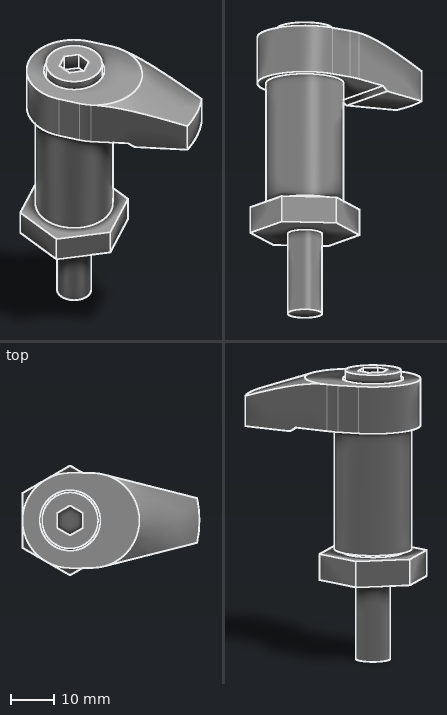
import cadquery as cq
import math

total_height = 68.0
head_protrusion = 2.0
hook_thickness = 11.0
shank_length = 29.05
collar_height = 0.8
nut_thickness = 6.1

hook_top = total_height - head_protrusion
hook_bottom = hook_top - hook_thickness
shank_bottom = hook_bottom - shank_length
nut_top = shank_bottom - collar_height
nut_bottom = nut_top - nut_thickness

hook_radius = 11.0
front_round_x = 5.0
nose_reach = 24.95
nose_drop = 4.9
flank_angle = math.radians(14.2)

pad_depth = 1.0
pad_ramp_start_x = 16.1
pad_start_x = 17.55

shank_diameter = 18.0
screw_diameter = 8.0
head_diameter = 13.0
head_height = 8.0
head_clearance_diameter = 14.0
socket_across_flats = 6.0
socket_depth = 4.0
nut_across_flats = 2 * hook_radius
collar_diameter = 14.0

head_bottom = total_height - head_height
nose_tip_x = front_round_x + nose_reach


def cylinder(diameter, bottom, top):
    """Solid cylinder on the screw axis."""
    return cq.Workplane("XY").workplane(offset=bottom).circle(diameter / 2).extrude(top - bottom)


def hexagon(across_flats, bottom, top):
    """Hexagonal prism on the screw axis, with two flats facing along X."""
    corner_diameter = across_flats / math.cos(math.pi / 6)
    prism = cq.Workplane("XY").workplane(offset=bottom).polygon(6, corner_diameter).extrude(top - bottom)
    return prism.rotate((0, 0, 0), (0, 0, 1), 30)


def hook_plan():
    """Hook outline extruded from the pad level to the top face."""
    tangent_x = front_round_x + hook_radius * math.sin(flank_angle)
    tangent_y = hook_radius * math.cos(flank_angle)
    mid_x = front_round_x + hook_radius * math.sin(flank_angle / 2)
    mid_y = hook_radius * math.cos(flank_angle / 2)
    flank_length = math.sqrt(nose_reach**2 - hook_radius**2)
    nose_x = tangent_x + flank_length * math.cos(flank_angle)
    nose_y = tangent_y - flank_length * math.sin(flank_angle)
    return (
        cq.Workplane("XY").workplane(offset=hook_bottom - pad_depth)
        .moveTo(0, -hook_radius)
        .lineTo(front_round_x, -hook_radius)
        .threePointArc((mid_x, -mid_y), (tangent_x, -tangent_y))
        .lineTo(nose_x, -nose_y)
        .threePointArc((nose_tip_x, 0), (nose_x, nose_y))
        .lineTo(tangent_x, tangent_y)
        .threePointArc((mid_x, mid_y), (front_round_x, hook_radius))
        .lineTo(0, hook_radius)
        .threePointArc((-hook_radius, 0), (0, -hook_radius))
        .close()
        .extrude(hook_thickness + pad_depth)
    )


def hook_side_profile():
    """Straight-topped side profile that leaves the contact pad below the nose."""
    return (
        cq.Workplane("XZ")
        .moveTo(-hook_radius, hook_top)
        .lineTo(-hook_radius, hook_bottom)
        .lineTo(pad_ramp_start_x, hook_bottom)
        .lineTo(pad_start_x, hook_bottom - pad_depth)
        .lineTo(nose_tip_x, hook_bottom - pad_depth)
        .lineTo(nose_tip_x, hook_top)
        .close()
        .extrude(hook_radius, both=True)
    )


def nose_cone_cutter():
    """Ring that removes material above the cone around the front round."""
    cut_radius = 2 * nose_reach
    cut_drop = nose_drop * (cut_radius - hook_radius) / (nose_reach - hook_radius)
    ring = (
        cq.Workplane("XZ")
        .moveTo(hook_radius, hook_top)
        .lineTo(cut_radius, hook_top)
        .lineTo(cut_radius, hook_top - cut_drop)
        .close()
        .revolve(360, (0, 0, 0), (0, 1, 0))
        .translate((front_round_x, 0, 0))
    )
    nose_side = (
        cq.Workplane("XY").workplane(offset=hook_top - cut_drop)
        .center(front_round_x + cut_radius / 2, 0)
        .rect(cut_radius, 2 * cut_radius)
        .extrude(cut_drop)
    )
    return ring.intersect(nose_side)


def make_hook():
    """Clamping hook with its shank, bored and counterbored for the screw."""
    hook = hook_plan().intersect(hook_side_profile()).cut(nose_cone_cutter())
    hook = hook.union(cylinder(shank_diameter, shank_bottom, hook_bottom))
    hook = hook.cut(cylinder(screw_diameter, shank_bottom, hook_top))
    return hook.cut(cylinder(head_clearance_diameter, head_bottom, hook_top))


def make_screw():
    """Socket head cap screw."""
    screw = cylinder(screw_diameter, 0, head_bottom)
    screw = screw.union(cylinder(head_diameter, head_bottom, total_height))
    return screw.cut(hexagon(socket_across_flats, total_height - socket_depth, total_height))


def make_nut():
    """Hexagonal nut with a round collar that meets the shank."""
    nut = hexagon(nut_across_flats, nut_bottom, nut_top)
    nut = nut.union(cylinder(collar_diameter, nut_top, shank_bottom))
    return nut.cut(cylinder(screw_diameter, nut_bottom, shank_bottom))


hook = make_hook()
screw = make_screw()
nut = make_nut()

result = cq.Compound.makeCompound([hook.val(), screw.val(), nut.val()])